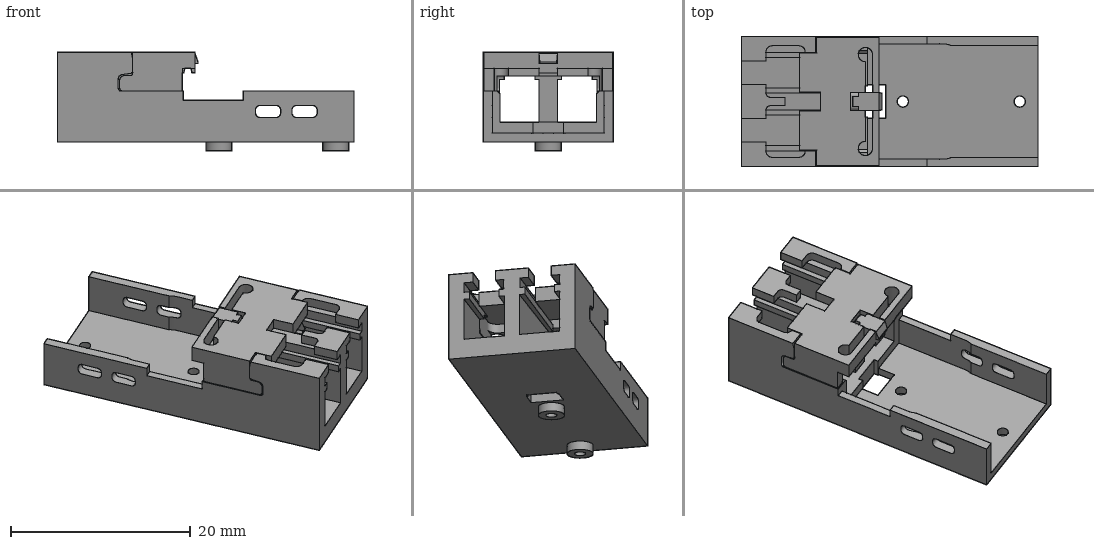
import cadquery as cq
import math

LENGTH = 33.0
WIDTH = 14.5
HALF_WIDTH = WIDTH / 2
TOP = 10.0

REAR_FLOOR = 1.0
CHANNEL_FLOOR = 2.2
RAIL_BOTTOM = 6.93
RAIL_TOP = 7.75
ROOF_BOTTOM = 8.88
SEAT = 5.68
LOW_WALL = 4.65

BLOCK_END = 14.02
ROOF_END = 2.75
LAND_END = 4.85
HIGH_WALL_START = 20.65
WALL_CURVE_START = 22.5
WALL_CURVE_END = 23.35

INNER_FRONT = 0.85
INNER_REAR = 1.05
OUTER_FRONT = 5.48
OUTER_REAR = 5.35
UPPER_INNER = 0.95
RAIL_INNER = 1.5
RAIL_OUTER = 4.9
ROOF_SLOT_INNER = 1.88
ROOF_SLOT_OUTER = 4.5

LAND_HALF = 0.45
POCKET_END = 7.1
POCKET_OUTER = 6.2
POCKET_RADIUS = 0.7

TRAY_HALF_FRONT = 6.4
TRAY_HALF_REAR = 6.2
LEDGE_CHAMFER = 0.33
WINDOW_START = 13.53
WINDOW_END = 16.05
WINDOW_HALF = 1.85
WINDOW_HALF_BLOCK = 1.7
SLOT_STARTS = (22.05, 26.1)
SLOT_LENGTH = 2.77
SLOT_BOTTOM = 2.75
SLOT_HEIGHT = 1.32
SLOT_RADIUS = 0.5

STANDOFF_CENTRES = (17.95, 30.95)
STANDOFF_DIAMETER = 2.9
STANDOFF_BORE = 1.22
STANDOFF_HEIGHT = 1.0

COVER_HALF = 7.13
COVER_UNDERSIDE = 8.35
BAR_UNDERSIDE = 8.2
REAR_WALL_BOTTOM = 7.33
LIP_START = 6.47
LIP_OUTER = 5.4
NOTCH_HALF = 1.05
NOTCH_END = 8.78
SHOULDER = 8.38
COVER_SIDE_END = 13.9
COVER_END = 15.3
COVER_INNER = OUTER_REAR + LEDGE_CHAMFER
CAVITY_END = 12.7
CAVITY_RADIUS = 1.1

TOE_START = 6.93
TOE_TOP = 7.4
UNDERCUT_TOE_TOP = 7.45
UNDERCUT_SHOULDER = 7.65
TOE_CORNER = 0.53
TOE_BOTTOM_CORNER = 0.33
TOE_ROOT = 0.25
TOE_GAP = 0.15
LEAD_IN_DEPTH = 0.85

RELIEF_X = 13.8
RELIEF_Y = 5.2
RELIEF_RADIUS = 0.8

LATCH_HALF = 1.02
LATCH_TOP = 9.87
LATCH_POCKET_START = 12.15
LATCH_POCKET_FLOOR = 8.88
LATCH_TONGUE_ROOT = 12.28
LATCH_TONGUE_START = 12.45
LATCH_TONGUE_HALF = 0.55
LATCH_SHOULDER = 13.05
NOSE_TIP = 15.65
NOSE_TIP_HALF = 0.92
NOSE_EDGE = 8.9
NOSE_BOTTOM = 8.7
LATCH_FOOT = 7.7
STOP_TOP_END = 14.2
STOP_FOOT_END = 14.05
HOOK_TOP_START = 14.85
HOOK_FOOT_START = 14.95

SIDES = (-1, 1)


def box(x0, x1, y0, y1, z0, z1):
    """Box between the given limits; the Y limits may come in either order."""
    size = (x1 - x0, abs(y1 - y0), z1 - z0)
    return cq.Workplane("XY").box(*size, centered=False).translate((x0, min(y0, y1), z0))


def plan_prism(points, z0, z1):
    """Prism with a straight-sided plan outline."""
    return cq.Workplane("XY").workplane(offset=z0).polyline(points).close().extrude(z1 - z0)


def side_prism(points, y0, y1):
    """Prism along Y with a straight-sided outline in X and Z."""
    return cq.Workplane("XZ", origin=(0, y1, 0)).polyline(points).close().extrude(y1 - y0)


def toe_profile(toe_start, toe_top, shoulder_z, rear, y0, y1):
    """Solid along Y with the shouldered, round-toed outline of a cover side."""
    outline = [
        (toe_start, SEAT),
        (rear, SEAT),
        (rear, TOP),
        (SHOULDER, TOP),
        (SHOULDER, shoulder_z),
        (toe_start, toe_top),
    ]
    solid = side_prism(outline, y0, y1)

    def round_edge(body, x, z, radius):
        middle = (x, (y0 + y1) / 2, z)
        return body.edges("|Y").edges(cq.selectors.NearestToPointSelector(middle)).fillet(radius)

    solid = round_edge(solid, toe_start, toe_top, TOE_CORNER)
    solid = round_edge(solid, toe_start, SEAT, TOE_BOTTOM_CORNER)
    return round_edge(solid, SHOULDER, shoulder_z, TOE_ROOT)



def channel(side):
    """One connector channel: tapered lower bore, groove above the rails and roof slot."""
    lower = plan_prism(
        [
            (0, side * INNER_FRONT),
            (BLOCK_END, side * INNER_REAR),
            (BLOCK_END, side * OUTER_REAR),
            (0, side * OUTER_FRONT),
        ],
        CHANNEL_FLOOR,
        RAIL_BOTTOM,
    )
    between_rails = box(0, BLOCK_END, side * RAIL_INNER, side * RAIL_OUTER, RAIL_BOTTOM, RAIL_TOP)
    groove = box(0, BLOCK_END, side * UPPER_INNER, side * OUTER_FRONT, RAIL_TOP, ROOF_BOTTOM)
    roof_slot = box(0, ROOF_END, side * ROOF_SLOT_INNER, side * ROOF_SLOT_OUTER, ROOF_BOTTOM, TOP)
    open_top = box(ROOF_END, BLOCK_END, side * UPPER_INNER, side * OUTER_FRONT, ROOF_BOTTOM, TOP)
    return lower.union(between_rails).union(groove).union(roof_slot).union(open_top)


def outer_pocket(side):
    """Shallow pocket beside a channel, with its two outer corners rounded."""
    pocket = box(ROOF_END, POCKET_END, side * OUTER_FRONT, side * POCKET_OUTER, ROOF_BOTTOM, TOP)
    outer_edges = ">Y" if side > 0 else "<Y"
    return pocket.faces(outer_edges).edges("|Z").fillet(POCKET_RADIUS)


def land_recess(side):
    """Recess beside the central land, rounded where the land meets the roof."""
    radius = UPPER_INNER - LAND_HALF
    mid = radius * (1 - math.sqrt(0.5))
    return (
        cq.Workplane("XY")
        .workplane(offset=ROOF_BOTTOM)
        .moveTo(ROOF_END, side * UPPER_INNER)
        .threePointArc((ROOF_END + mid, side * (LAND_HALF + mid)), (ROOF_END + radius, side * LAND_HALF))
        .lineTo(LAND_END, side * LAND_HALF)
        .lineTo(LAND_END, side * UPPER_INNER)
        .close()
        .extrude(TOP - ROOF_BOTTOM)
    )


def cover_seat(side):
    """Undercut in a housing side wall that takes the toe of the cover, with a sloped lead-in."""
    y0, y1 = sorted((side * RAIL_OUTER, side * HALF_WIDTH))
    undercut = toe_profile(TOE_START - TOE_GAP, UNDERCUT_TOE_TOP, UNDERCUT_SHOULDER, BLOCK_END, y0, y1)
    lead_in = side_prism(
        [(SHOULDER - TOE_GAP, TOP), (SHOULDER, TOP), (SHOULDER, TOP - LEAD_IN_DEPTH)], y0, y1
    )
    return undercut.union(lead_in)


def rear_tray():
    """Space between the rear side walls, which curve inwards and stay narrower to the rear end."""
    return (
        cq.Workplane("XY")
        .workplane(offset=REAR_FLOOR)
        .moveTo(BLOCK_END, 0)
        .lineTo(BLOCK_END, TRAY_HALF_FRONT)
        .lineTo(WALL_CURVE_START, TRAY_HALF_FRONT)
        .tangentArcPoint((WALL_CURVE_END, TRAY_HALF_REAR), relative=False)
        .lineTo(LENGTH, TRAY_HALF_REAR)
        .lineTo(LENGTH, 0)
        .mirrorX()
        .extrude(SEAT - REAR_FLOOR)
    )


def ledge_chamfer(side):
    """Lead-in on the inner edge of the ledge under a cover side."""
    outline = [
        (side * OUTER_REAR, SEAT),
        (side * (OUTER_REAR + LEDGE_CHAMFER), SEAT),
        (side * OUTER_REAR, SEAT - LEDGE_CHAMFER),
    ]
    edge = cq.Workplane("YZ", origin=(TOE_START, 0, 0)).polyline(outline).close()
    return edge.extrude(BLOCK_END - TOE_START)


def side_slot(start):
    """Rounded slot through both rear side walls."""
    slot = box(
        start, start + SLOT_LENGTH, -HALF_WIDTH, HALF_WIDTH, SLOT_BOTTOM, SLOT_BOTTOM + SLOT_HEIGHT
    )
    return slot.edges("|Y").fillet(SLOT_RADIUS)


def make_housing():
    body = side_prism(
        [
            (0, 0),
            (LENGTH, 0),
            (LENGTH, SEAT),
            (HIGH_WALL_START, SEAT),
            (HIGH_WALL_START, LOW_WALL),
            (BLOCK_END, LOW_WALL),
            (BLOCK_END, TOP),
            (0, TOP),
        ],
        -HALF_WIDTH,
        HALF_WIDTH,
    )
    for side in SIDES:
        body = body.cut(channel(side)).cut(outer_pocket(side)).cut(land_recess(side)).cut(cover_seat(side))

    body = body.cut(box(LAND_END, NOTCH_END, -UPPER_INNER, UPPER_INNER, ROOF_BOTTOM, TOP))
    body = body.cut(box(NOTCH_END, BLOCK_END, -RAIL_INNER, RAIL_INNER, COVER_UNDERSIDE, TOP))
    body = body.cut(box(CAVITY_END, BLOCK_END, -RAIL_INNER, RAIL_INNER, CHANNEL_FLOOR, TOP))
    for side in SIDES:
        body = body.cut(ledge_chamfer(side))
    body = body.cut(rear_tray())
    body = body.cut(box(BLOCK_END, WINDOW_END, -WINDOW_HALF, WINDOW_HALF, 0, REAR_FLOOR))
    body = body.cut(box(WINDOW_START, BLOCK_END, -WINDOW_HALF_BLOCK, WINDOW_HALF_BLOCK, 0, CHANNEL_FLOOR))
    for start in SLOT_STARTS:
        body = body.cut(side_slot(start))
    for x in STANDOFF_CENTRES:
        body = body.cut(cq.Workplane("XY").center(x, 0).circle(STANDOFF_BORE / 2).extrude(REAR_FLOOR))
    return body



def spring_slot(side):
    """Relief slot in front of the rear bar, ending in a round hole."""
    height = TOP - SEAT
    hole = cq.Workplane("XY").workplane(offset=SEAT).center(RELIEF_X, side * RELIEF_Y)
    hole = hole.circle(RELIEF_RADIUS).extrude(height)
    slot = box(RELIEF_X, RELIEF_X + RELIEF_RADIUS, side * LATCH_HALF, side * RELIEF_Y, SEAT, TOP)
    return hole.union(slot)


def latch_saddle():
    """Floor of the latch pocket, falling away in a round on both sides of the tongue."""
    round_width = LATCH_HALF - LATCH_TONGUE_HALF
    crest = LATCH_POCKET_FLOOR + round_width
    saddle = box(LATCH_POCKET_START, LATCH_SHOULDER, -LATCH_HALF, LATCH_HALF, COVER_UNDERSIDE, crest)
    return saddle.faces(">Z").edges("|X").fillet(round_width)


def latch_pocket():
    """Sunken strip above the latch with a U-shaped pocket around its sloped tongue."""
    strip = box(LATCH_POCKET_START, COVER_END, -LATCH_HALF, LATCH_HALF, LATCH_TOP, TOP)
    pocket = box(
        LATCH_POCKET_START, LATCH_SHOULDER, -LATCH_HALF, LATCH_HALF, LATCH_POCKET_FLOOR, LATCH_TOP
    )
    tongue = side_prism(
        [
            (LATCH_TONGUE_ROOT, LATCH_POCKET_FLOOR),
            (LATCH_SHOULDER, LATCH_POCKET_FLOOR),
            (LATCH_SHOULDER, LATCH_TOP),
            (LATCH_TONGUE_START, LATCH_TOP),
        ],
        -LATCH_TONGUE_HALF,
        LATCH_TONGUE_HALF,
    )
    return strip.union(pocket.cut(tongue).cut(latch_saddle()))


def latch_parts():
    """Sloped and tapered nose behind the bar, and the stop and hook below the latch."""
    nose = [(COVER_END, LATCH_TOP), (NOSE_TIP, NOSE_EDGE), (NOSE_TIP, NOSE_BOTTOM), (COVER_END, NOSE_BOTTOM)]
    nose_plan = [
        (COVER_END, -LATCH_HALF),
        (NOSE_TIP, -NOSE_TIP_HALF),
        (NOSE_TIP, NOSE_TIP_HALF),
        (COVER_END, LATCH_HALF),
    ]
    stop = [
        (RELIEF_X, BAR_UNDERSIDE),
        (STOP_TOP_END, BAR_UNDERSIDE),
        (STOP_FOOT_END, LATCH_FOOT),
        (RELIEF_X, LATCH_FOOT),
    ]
    hook = [
        (HOOK_TOP_START, BAR_UNDERSIDE),
        (COVER_END, BAR_UNDERSIDE),
        (COVER_END, LATCH_FOOT),
        (HOOK_FOOT_START, LATCH_FOOT),
    ]
    nose_block = side_prism(nose, -LATCH_HALF, LATCH_HALF).intersect(plan_prism(nose_plan, NOSE_BOTTOM, TOP))
    stop_block = side_prism(stop, -LATCH_HALF, LATCH_HALF)
    hook_block = side_prism(hook, -LATCH_HALF, LATCH_HALF)
    return [nose_block, stop_block, hook_block]


def make_cover():
    body = toe_profile(TOE_START, TOE_TOP, TOE_TOP, COVER_SIDE_END, -COVER_HALF, COVER_HALF)
    cavity = box(TOE_START, CAVITY_END, -COVER_INNER, COVER_INNER, SEAT, COVER_UNDERSIDE)
    body = body.cut(cavity.faces(">X").edges("|Z").fillet(CAVITY_RADIUS))
    body = body.cut(box(TOE_START, COVER_SIDE_END, -COVER_INNER, COVER_INNER, SEAT, REAR_WALL_BOTTOM))

    body = body.union(box(LIP_START, SHOULDER, -LIP_OUTER, LIP_OUTER, COVER_UNDERSIDE, TOP))
    body = body.cut(box(LIP_START, NOTCH_END, -NOTCH_HALF, NOTCH_HALF, SEAT, TOP))
    body = body.union(box(COVER_SIDE_END, COVER_END, -COVER_HALF, COVER_HALF, BAR_UNDERSIDE, TOP))

    for side in SIDES:
        body = body.cut(spring_slot(side))
    body = body.cut(latch_pocket())
    for part in latch_parts():
        body = body.union(part)
    return body



def make_standoff(x):
    tube = cq.Workplane("XY").center(x, 0).circle(STANDOFF_DIAMETER / 2).circle(STANDOFF_BORE / 2)
    return tube.extrude(-STANDOFF_HEIGHT)


housing = make_housing()
cover = make_cover()
standoffs = [make_standoff(x) for x in STANDOFF_CENTRES]

result = cq.Compound.makeCompound(
    [housing.solids().val(), cover.solids().val(), *[standoff.val() for standoff in standoffs]]
)